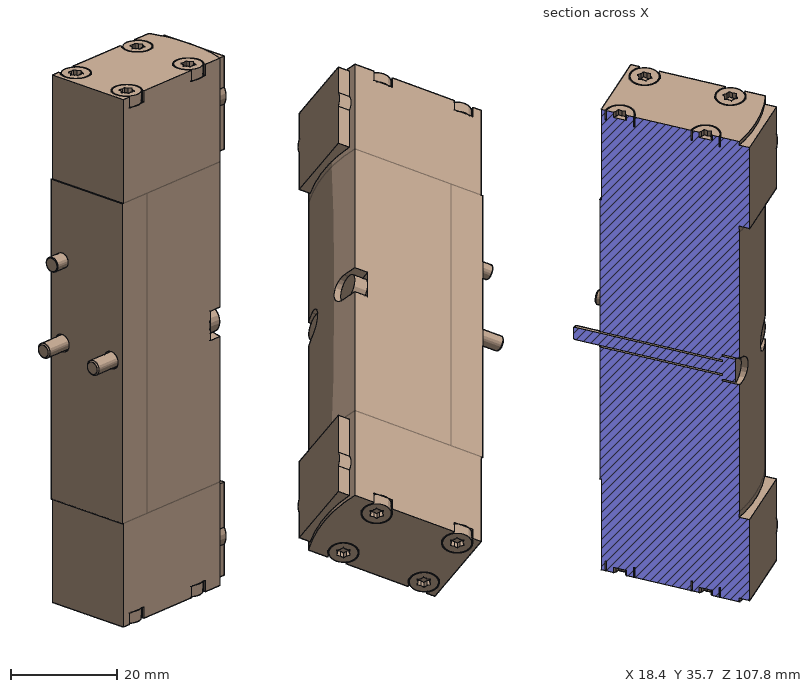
import cadquery as cq
import math

width = 18.0
length = 107.8
crown_y = 29.0
dome_rise = 1.45
base_thickness = 6.9
cap_length = 21.2
cap_setback = 0.3
half_length = length / 2
middle_length = length - 2 * cap_length
shoulder_y = crown_y - dome_rise

cap_screw_dia = 5.5
cap_screw_spread = 12.9
cap_screw_drops = (7.55, 24.9)
cap_bore_dia = 5.9
cap_notch_width = 4.0
cap_bore_depth = 2.3

drive_lobes = 6
drive_outer_dia = 2.9
drive_inner_dia = 2.2
drive_depth = 1.2

mount_spread = 12.4
mount_head_dia = 5.5
mount_slot_width = 6.0
mount_slot_depth = 4.2
mount_dia = 3.0
mount_tip_dia = 2.46
mount_hole_dia = 3.5
mount_projection = 5.35

pin_dia = 3.0
pin_projection = 3.0
pin_z = 16.9
pin_chamfer = 0.15
pin_root = 1.0

pad_width = 15.2
pad_rise = 1.35
pad_end_gap = 0.85
pad_length = 19.05
pad_root = 3.0
bulge_dia = 7.0
bulge_reach = 0.45
bulge_from_end = 8.95

mount_chamfer = (mount_dia - mount_tip_dia) / 2


def domed_block(front_y, z_low, z_high):
    """Block along Z whose back is one shallow arc."""
    half = width / 2
    profile = (
        cq.Workplane("XY", origin=(0, 0, z_low))
        .moveTo(-half, front_y)
        .lineTo(half, front_y)
        .lineTo(half, shoulder_y)
        .threePointArc((0, crown_y), (-half, shoulder_y))
        .close()
    )
    return profile.extrude(z_high - z_low)


def box_between(x_range, y_range, z_range):
    """Box given by its low and high limits on each axis."""
    low, high = zip(x_range, y_range, z_range)
    sizes = [b - a for a, b in zip(low, high)]
    return cq.Workplane("XY").box(*sizes, centered=False).translate(low)


def cylinder_y(x, z, dia, y_low, y_high):
    """Cylinder along Y."""
    circle = cq.Workplane("XZ", origin=(x, y_high, z)).circle(dia / 2)
    return circle.extrude(y_high - y_low)


def cylinder_z(x, y, dia, z_low, z_high):
    """Cylinder along Z."""
    circle = cq.Workplane("XY", origin=(x, y, z_low)).circle(dia / 2)
    return circle.extrude(z_high - z_low)


def body():
    """Base slab, domed middle and two end caps, keeping the seams between them."""
    half_middle = middle_length / 2
    base = box_between(
        (-width / 2, width / 2), (0, base_thickness), (-half_middle, half_middle)
    )
    middle = domed_block(base_thickness, -half_middle, half_middle)
    top_cap = domed_block(cap_setback, half_middle, half_length)
    bottom_cap = top_cap.mirror("XY")
    solid = base
    for block in (middle, top_cap, bottom_cap):
        solid = solid.union(block, clean=False)
    return solid


def drive_recess(x, y):
    """Six-pointed star recess in the top of a cap screw, one point towards +Y."""
    points = []
    for i in range(2 * drive_lobes):
        radius = (drive_outer_dia if i % 2 == 0 else drive_inner_dia) / 2
        angle = math.pi / 2 + i * math.pi / drive_lobes
        points.append((x + radius * math.cos(angle), y + radius * math.sin(angle)))
    start = cq.Workplane("XY", origin=(0, 0, half_length - drive_depth))
    return start.polyline(points).close().extrude(drive_depth)


def add_cap_screws(solid):
    """Four flush screw heads on each end, in oversize bores notched through the side walls."""
    floor_z = half_length - cap_bore_depth
    for side in (-1, 1):
        x = side * cap_screw_spread / 2
        x_range = sorted((x, side * width / 2))
        for drop in cap_screw_drops:
            y = crown_y - drop
            y_range = (y - cap_notch_width / 2, y + cap_notch_width / 2)
            notch = box_between(x_range, y_range, (floor_z, half_length))
            bore = cylinder_z(x, y, cap_bore_dia, floor_z, half_length).union(notch)
            head = cylinder_z(x, y, cap_screw_dia, floor_z, half_length)
            head = head.cut(drive_recess(x, y))
            solid = solid.cut(bore, clean=False).union(head, clean=False)
            solid = solid.cut(bore.mirror("XY"), clean=False)
            solid = solid.union(head.mirror("XY"), clean=False)
    return solid


def add_pads(solid):
    """Raised pad on the back of each cap."""
    pad_top_z = half_length - pad_end_gap
    y_low = crown_y - pad_root
    y_high = crown_y + pad_rise
    pad = box_between(
        (-pad_width / 2, pad_width / 2), (y_low, y_high), (pad_top_z - pad_length, pad_top_z)
    )
    bulge_x = pad_width / 2 + bulge_reach - bulge_dia / 2
    bulge_z = half_length - bulge_from_end
    for x in (-bulge_x, bulge_x):
        pad = pad.union(cylinder_y(x, bulge_z, bulge_dia, y_low, y_high))
    return solid.union(pad, clean=False).union(pad.mirror("XY"), clean=False)


def add_mounting_screws(solid):
    """Two screws with their heads in slots open to the sides of the body."""
    floor_y = crown_y - mount_slot_depth
    half_slot = mount_slot_width / 2
    for side in (-1, 1):
        x = side * mount_spread / 2
        x_range = sorted((x, side * width / 2))
        slot = box_between(x_range, (floor_y, crown_y), (-half_slot, half_slot))
        slot = slot.union(cylinder_y(x, 0, mount_slot_width, floor_y, crown_y))
        hole = cylinder_y(x, 0, mount_hole_dia, 0, floor_y)
        head = cylinder_y(x, 0, mount_head_dia, floor_y, shoulder_y)
        shank = cylinder_y(x, 0, mount_dia, -mount_projection, floor_y)
        shank = shank.faces("<Y").chamfer(mount_chamfer)
        solid = solid.cut(slot, clean=False).cut(hole, clean=False)
        solid = solid.union(head.union(shank), clean=False)
    return solid


def add_locating_pin(solid):
    """Single pin on the mounting face, on the -X side."""
    pin = cylinder_y(-mount_spread / 2, pin_z, pin_dia, -pin_projection, pin_root)
    pin = pin.faces("<Y").chamfer(pin_chamfer)
    return solid.union(pin, clean=False)


result = body()
result = add_pads(result)
result = add_cap_screws(result)
result = add_mounting_screws(result)
result = add_locating_pin(result)